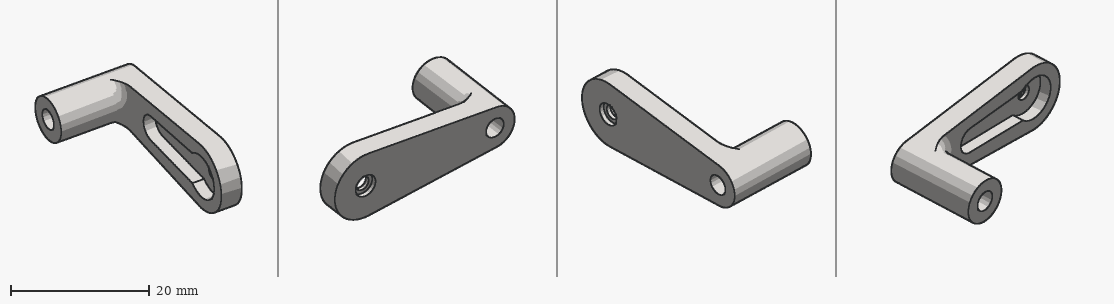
import cadquery as cq
import math

overall_length = 32.65
overall_depth = 15.0
arm_thickness = 3.5

boss_radius = 3.6
boss_hole_diameter = 3.2
flare_radius = 2.0

head_radius = 5.6
head_hole_diameter = 2.3
counterbore_diameter = 3.6
counterbore_depth = 0.8
head_x = overall_length - boss_radius - head_radius

wall = 2.0
pocket_depth = 2.0
pocket_head_radius = head_radius - wall
pocket_tail_radius = 2.15
pocket_tail_x = boss_radius + flare_radius + wall + pocket_tail_radius
pocket_taper_radius = head_radius / 2

back_y = overall_depth / 2
front_y = back_y - overall_depth
arm_front_y = back_y - arm_thickness

clearance_radius = 2 * overall_length


def plane_at(y):
    """XZ sketch plane at the given Y, with positive extrusion towards -Y."""
    return cq.Workplane("XZ", origin=(0, y, 0))


def disc(x, radius, y, length):
    """Cylinder along -Y, starting at y."""
    return plane_at(y).center(x, 0).circle(radius).extrude(length)


def tapered_link(x1, radius1, x2, radius2, y, length):
    """Extruded outline of two arcs joined by their common outer tangents."""
    lean = (radius2 - radius1) / (x2 - x1)
    rise = math.sqrt(1 - lean**2)
    start = (x1 - radius1 * lean, radius1 * rise)
    end = (x2 - radius2 * lean, radius2 * rise)
    return (
        plane_at(y)
        .moveTo(*start)
        .lineTo(*end)
        .threePointArc((x2 + radius2, 0), (end[0], -end[1]))
        .lineTo(start[0], -start[1])
        .threePointArc((x1 - radius1, 0), start)
        .close()
        .extrude(length)
    )


def boss_clearance():
    """Material in front of the arm and beside the boss, leaving a concave flare at the boss root.

    It sweeps only the sector facing the arm, between the tangent lines of the boss and the arm sides.
    """
    flare_start_y = arm_front_y - flare_radius
    arc_offset = flare_radius * (1 - math.sqrt(0.5))
    half_angle = 90 + math.degrees(math.asin((head_radius - boss_radius) / head_x))
    sector = (
        cq.Workplane("XY")
        .moveTo(boss_radius, front_y)
        .lineTo(clearance_radius, front_y)
        .lineTo(clearance_radius, arm_front_y)
        .lineTo(boss_radius + flare_radius, arm_front_y)
        .threePointArc(
            (boss_radius + arc_offset, arm_front_y - arc_offset),
            (boss_radius, flare_start_y),
        )
        .close()
        .revolve(2 * half_angle, (0, 0, 0), (0, 1, 0))
    )
    return sector.rotate((0, 0, 0), (0, 1, 0), -half_angle)


def pocket():
    """Keyhole-shaped pocket: a tapered channel opening into a round end."""
    channel = tapered_link(
        pocket_tail_x, pocket_tail_radius, head_x, pocket_taper_radius, arm_front_y, -pocket_depth
    )
    round_end = disc(head_x, pocket_head_radius, arm_front_y, -pocket_depth)
    return channel.union(round_end)


def head_screw_hole():
    """Through hole in the head with a shallow counterbore in the back face."""
    hole = disc(head_x, head_hole_diameter / 2, back_y, arm_thickness)
    counterbore = disc(head_x, counterbore_diameter / 2, back_y, counterbore_depth)
    return hole.union(counterbore)


body = tapered_link(0, boss_radius, head_x, head_radius, back_y, overall_depth)
boss_hole = disc(0, boss_hole_diameter / 2, back_y, overall_depth)

result = body.cut(boss_clearance()).cut(pocket()).cut(boss_hole).cut(head_screw_hole())